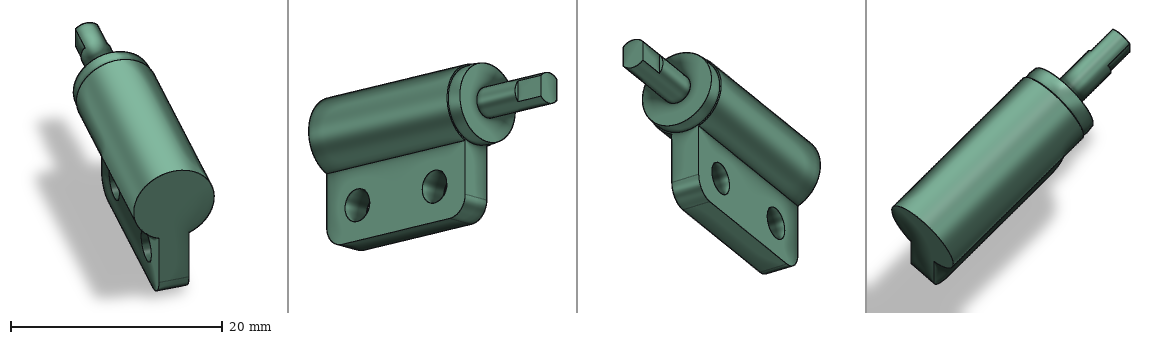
import cadquery as cq

total_length = 27.5
barrel_length = 18.0
barrel_diameter = 8.0
cap_width = 1.5
cap_face_diameter = 7.67
cap_crown_diameter = 7.85

shaft_diameter = 3.0
flat_length = 3.0
flat_to_flat = 2.2

total_height = 15.0
plate_thickness = 3.0
plate_corner_radius = 2.0
hole_diameter = 3.2
hole_end_distance = 4.0
hole_drop = 7.5

shaft_tip_x = -total_length / 2
barrel_end_x = total_length / 2
barrel_face_x = barrel_end_x - barrel_length
cap_face_x = barrel_face_x - cap_width
cap_middle_x = (cap_face_x + barrel_face_x) / 2
barrel_middle_x = (barrel_face_x + barrel_end_x) / 2

plate_depth = total_height - barrel_diameter / 2


def cylinder_along_x(start_x, end_x, diameter):
    """Solid cylinder on the shaft axis between two X stations."""
    return cq.Workplane("YZ", origin=(start_x, 0, 0)).circle(diameter / 2).extrude(end_x - start_x)


def make_mounting_plate():
    """Plate hanging below the axis, with rounded lower corners and two screw holes."""
    hole_spacing = barrel_length - 2 * hole_end_distance
    plate = (
        cq.Workplane("XY")
        .box(barrel_length, plate_thickness, plate_depth)
        .translate((barrel_middle_x, 0, -plate_depth / 2))
        .edges("|Y and <Z")
        .fillet(plate_corner_radius)
    )
    holes = (
        cq.Workplane("XZ", origin=(barrel_middle_x, plate_thickness / 2, -hole_drop))
        .rarray(hole_spacing, 0.28, 2, 1)
        .circle(hole_diameter / 2)
        .extrude(plate_thickness)
    )
    return plate.cut(holes)


def make_housing():
    """Barrel and mounting plate in one piece."""
    return cylinder_along_x(barrel_face_x, barrel_end_x, barrel_diameter).union(make_mounting_plate())


def make_cap():
    """Ring against the barrel face, with a crowned rim and a bore for the shaft."""
    bore_radius = shaft_diameter / 2
    face_radius = cap_face_diameter / 2
    crown_radius = cap_crown_diameter / 2
    return (
        cq.Workplane("XZ")
        .moveTo(cap_face_x, bore_radius)
        .lineTo(cap_face_x, face_radius)
        .threePointArc((cap_middle_x, crown_radius), (barrel_face_x, face_radius))
        .lineTo(barrel_face_x, bore_radius)
        .close()
        .revolve(360, (0, 0, 0), (1, 0, 0))
    )


def make_shaft():
    """Shaft through the cap up to the barrel face, with two flats at its tip."""
    shaft = cylinder_along_x(shaft_tip_x, barrel_face_x, shaft_diameter)
    tip_round = cylinder_along_x(shaft_tip_x, shaft_tip_x + flat_length, shaft_diameter)
    tip_core = (
        cq.Workplane("XY")
        .box(flat_length, flat_to_flat, shaft_diameter)
        .translate((shaft_tip_x + flat_length / 2, 0, 0))
    )
    return shaft.cut(tip_round.cut(tip_core))


housing = make_housing()
cap = make_cap()
shaft = make_shaft()

result = cq.Compound.makeCompound([housing.val(), cap.val(), shaft.val()])